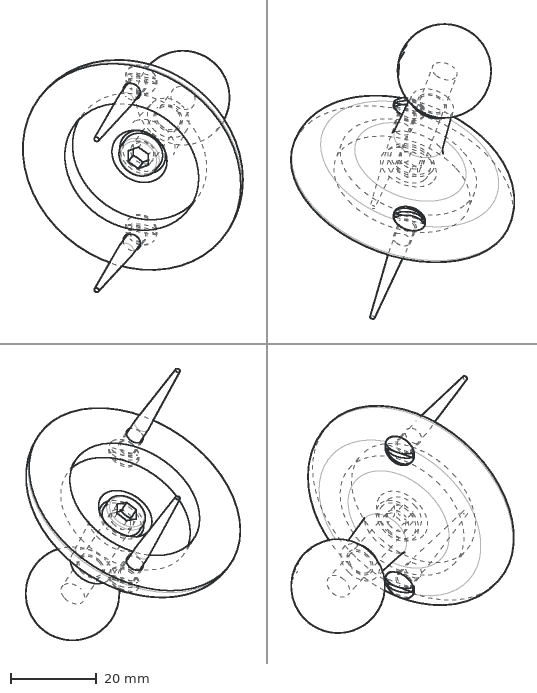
import cadquery as cq
import math


total_length = 71.8
ball_top = 46.95
spike_tip = ball_top - total_length

ball_radius = 11.0
ball_centre = ball_top - ball_radius

disc_radius = 27.0
rim_height = 0.65
rim_round = 5.8
foot_height = 7.1
neck_bottom = 14.1
neck_bottom_radius = 6.0
neck_top = 25.55
neck_top_radius = 5.2
recess_radius = 16.6
recess_depth = 5.45
pocket_mouth_radius = 6.8
pocket_floor_radius = 5.7
pocket_depth = 2.2

bolt_head_radius = 4.95
bolt_head_round = 0.5
bolt_head_height = 3.0
bolt_shank_radius = 3.0
bolt_end = ball_centre
hex_across_flats = 4.95
hex_depth = 3.3
hex_cone_depth = 1.3

spike_offset = 20.0
spike_radius = 1.9
spike_tip_radius = 0.6
spike_taper_start = -4.0
spike_hole_radius = 2.15
spike_head_radius = 3.9
spike_head_rim = 6.3
spike_head_top = 8.1
spike_slot_width = 1.3
spike_slot_floor = 6.6

recess_floor = recess_depth
pocket_floor = recess_floor + pocket_depth
bolt_face = pocket_floor - bolt_head_height
countersink_drop = spike_head_radius - spike_radius


def revolve_about_y(profile):
    """Revolve a closed XY profile (x = radius) about the Y axis."""
    return profile.close().revolve(360, (0, 0, 0), (0, 1, 0))


def cylinder(radius, start, end):
    """Cylinder on the Y axis between two heights."""
    return revolve_about_y(cq.Workplane("XY").moveTo(0, start).lineTo(radius, start)
                           .lineTo(radius, end).lineTo(0, end))


def cone(start_radius, start, end_radius, end):
    """Truncated cone on the Y axis between two heights."""
    return revolve_about_y(cq.Workplane("XY").moveTo(0, start).lineTo(start_radius, start)
                           .lineTo(end_radius, end).lineTo(0, end))


def make_base():
    taper = math.atan2(neck_bottom_radius - neck_top_radius, neck_top - neck_bottom)
    blend_radius = (neck_bottom - foot_height) / (1 - math.sin(taper))
    blend_x = neck_bottom_radius + blend_radius * math.cos(taper)
    blend_y = foot_height + blend_radius
    blend_angle = 5 * math.pi / 4 - taper / 2
    blend_middle = (blend_x + blend_radius * math.cos(blend_angle), blend_y + blend_radius * math.sin(blend_angle))
    rim_x = disc_radius - rim_round

    rise = foot_height - rim_height
    run = rim_x - blend_x
    slope = math.atan2(rise, run) - math.asin(rim_round / math.hypot(run, rise))
    rim_end = (rim_x + rim_round * math.sin(slope), rim_height + rim_round * math.cos(slope))
    rim_angle = (math.pi / 2 - slope) / 2
    rim_middle = (rim_x + rim_round * math.cos(rim_angle), rim_height + rim_round * math.sin(rim_angle))

    base = revolve_about_y(
        cq.Workplane("XY")
        .lineTo(disc_radius, 0)
        .lineTo(disc_radius, rim_height)
        .threePointArc(rim_middle, rim_end)
        .lineTo(blend_x, foot_height)
        .threePointArc(blend_middle, (neck_bottom_radius, neck_bottom))
        .lineTo(neck_top_radius, neck_top)
        .lineTo(0, neck_top))
    base = base.cut(cylinder(recess_radius, 0, recess_floor))
    base = base.cut(cone(pocket_mouth_radius, recess_floor, pocket_floor_radius, pocket_floor))
    base = base.cut(cylinder(bolt_shank_radius, pocket_floor, neck_top))
    for side in (-1, 1):
        base = base.cut(make_spike_hole().translate((0, 0, side * spike_offset)))
    return base


def make_spike_hole():
    """Through hole with a countersink that is open above the screw head rim."""
    through = cylinder(spike_hole_radius, 0, spike_head_top)
    countersink = cone(spike_radius, spike_head_rim - countersink_drop, spike_head_radius, spike_head_rim)
    opening = cylinder(spike_head_radius, spike_head_rim, spike_head_top)
    return through.union(countersink).union(opening)


def make_ball():
    ball = cq.Workplane("XY").sphere(ball_radius).translate((0, ball_centre, 0))
    ball = ball.cut(cylinder(ball_radius, 0, neck_top))
    return ball.cut(cylinder(bolt_shank_radius, neck_top, bolt_end))


def make_bolt():
    head = cylinder(bolt_head_radius, bolt_face, pocket_floor).faces("<Y").edges().fillet(bolt_head_round)
    bolt = head.union(cylinder(bolt_shank_radius, pocket_floor, bolt_end))
    hex_across_corners = hex_across_flats / math.cos(math.pi / 6)
    socket_depth = hex_depth + hex_cone_depth
    prism = (cq.Workplane("XZ", origin=(0, bolt_face, 0))
             .transformed(rotate=(0, 0, 90))
             .polygon(6, hex_across_corners).extrude(-socket_depth))
    drill = revolve_about_y(
        cq.Workplane("XY")
        .moveTo(0, bolt_face - hex_depth)
        .lineTo(hex_across_corners, bolt_face - hex_depth)
        .lineTo(hex_across_corners / 2, bolt_face + hex_depth)
        .lineTo(0, bolt_face + socket_depth))
    return bolt.cut(prism.intersect(drill))


def make_spike():
    dome_radius = (spike_head_radius**2 + (spike_head_top - spike_head_rim)**2) / (
        2 * (spike_head_top - spike_head_rim))
    half_angle = math.asin(spike_head_radius / dome_radius) / 2
    dome_middle = (dome_radius * math.sin(half_angle),
                   spike_head_top - dome_radius * (1 - math.cos(half_angle)))
    spike = revolve_about_y(
        cq.Workplane("XY")
        .moveTo(0, spike_tip)
        .lineTo(spike_tip_radius, spike_tip)
        .lineTo(spike_radius, spike_taper_start)
        .lineTo(spike_radius, spike_head_rim - countersink_drop)
        .lineTo(spike_head_radius, spike_head_rim)
        .threePointArc(dome_middle, (0, spike_head_top)))
    slot_depth = spike_head_top - spike_slot_floor
    slot = (cq.Workplane("XY").box(2 * spike_head_radius, slot_depth, spike_slot_width)
            .translate((0, spike_slot_floor + slot_depth / 2, 0)))
    return spike.cut(slot)


base = make_base()
ball = make_ball()
bolt = make_bolt()
spikes = [make_spike().translate((0, 0, side * spike_offset)) for side in (-1, 1)]

result = cq.Compound.makeCompound(
    [base.val(), ball.val(), bolt.val(), *[spike.val() for spike in spikes]])